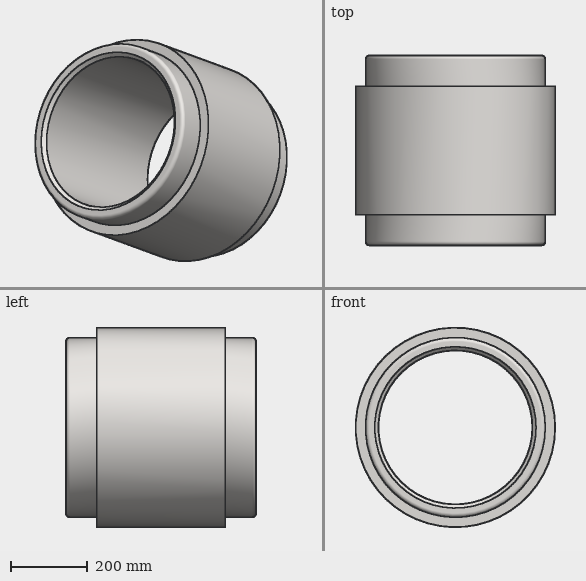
import cadquery as cq

total_length = 495.0
end_length = 80.0
collar_diameter = 520.0
end_diameter = 468.0
bore_diameter = 400.0

outer_rounding = 10.0
bore_chamfer = 10.0

collar_length = total_length - 2 * end_length


def cylinder_along_y(diameter, length):
    """Solid cylinder on the Y axis, centred on the origin."""
    far_end = cq.Workplane("XZ").workplane(offset=-length / 2)
    return far_end.circle(diameter / 2).extrude(length)


def sleeve_body():
    """Long sleeve with the outer edge of each end rounded."""
    body = cylinder_along_y(end_diameter, total_length)
    return body.faces("<Y or >Y").edges().fillet(outer_rounding)


def cut_bore(body):
    """Through bore with a chamfered mouth at each end."""
    bored = body.cut(cylinder_along_y(bore_diameter, total_length))
    mouths = bored.faces("<Y or >Y").edges(cq.selectors.RadiusNthSelector(0))
    return mouths.chamfer(bore_chamfer)


collar = cylinder_along_y(collar_diameter, collar_length)
result = cut_bore(sleeve_body().union(collar))